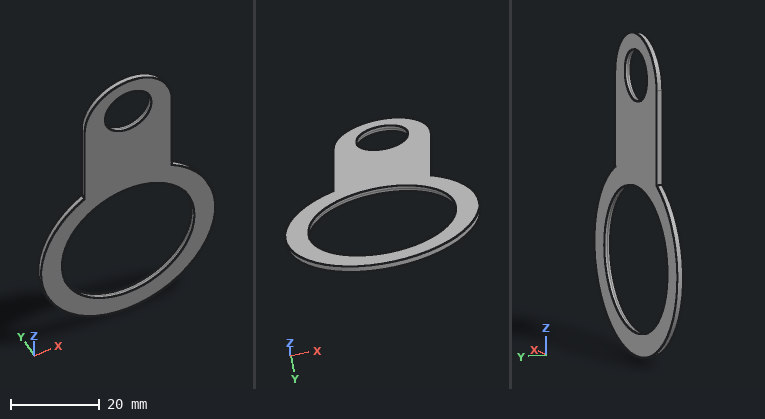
import cadquery as cq

total_height = 74.6
thickness = 1.5
ring_diameter = 44.6
ring_bore = 33.8
tab_width = 22.3
eye_diameter = 11.8
eye_drop = 9.8

tab_top = total_height - ring_diameter / 2
tab_arc_start = tab_top - tab_width / 2
eye_height = tab_top - eye_drop


def disc(diameter, height):
    """Disc of the plate thickness, centred on Y, at a height above the ring centre."""
    return (
        cq.Workplane("XZ")
        .center(0, height)
        .circle(diameter / 2)
        .extrude(thickness / 2, both=True)
    )


tab = (
    cq.Workplane("XZ")
    .moveTo(-tab_width / 2, 0)
    .lineTo(-tab_width / 2, tab_arc_start)
    .threePointArc((0, tab_top), (tab_width / 2, tab_arc_start))
    .lineTo(tab_width / 2, 0)
    .close()
    .extrude(thickness / 2, both=True)
)

plate = disc(ring_diameter, 0).union(tab)
result = plate.cut(disc(ring_bore, 0)).cut(disc(eye_diameter, eye_height))